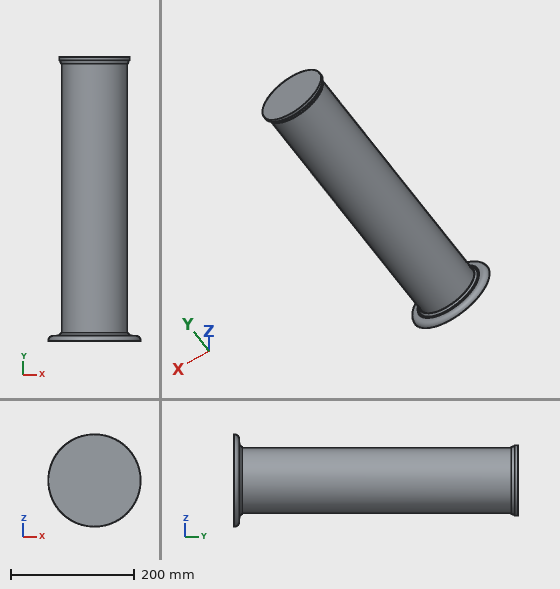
import cadquery as cq
import math

length = 460.5
tube_radius = 53.5
taper_end_radius = 54.5

foot_radius = 75.0
foot_thickness = 8.8
foot_round = 8.5
foot_shoulder_radius = 60.5
foot_shoulder_height = 1.0
foot_taper_radius = 57.5
foot_taper_length = 3.5

lip_radius = 57.5
lip_thickness = 5.5
lip_taper_radius = 56.0
lip_taper_length = 5.5

round_center_radius = foot_radius - foot_round
round_center_y = foot_thickness - foot_round
round_offset = foot_round * math.sqrt(0.5)
foot_shoulder_y = foot_thickness + foot_shoulder_height
foot_taper_end = foot_shoulder_y + foot_taper_length
lip_y = length - lip_thickness
lip_taper_start = lip_y - lip_taper_length

profile = (
    cq.Workplane("XY")
    .lineTo(foot_radius, 0)
    .lineTo(foot_radius, round_center_y)
    .threePointArc(
        (round_center_radius + round_offset, round_center_y + round_offset),
        (round_center_radius, foot_thickness),
    )
    .lineTo(foot_shoulder_radius, foot_thickness)
    .lineTo(foot_shoulder_radius, foot_shoulder_y)
    .lineTo(foot_taper_radius, foot_shoulder_y)
    .lineTo(taper_end_radius, foot_taper_end)
    .lineTo(tube_radius, foot_taper_end)
    .lineTo(tube_radius, lip_taper_start)
    .lineTo(taper_end_radius, lip_taper_start)
    .lineTo(lip_taper_radius, lip_y)
    .lineTo(lip_radius, lip_y)
    .lineTo(lip_radius, length)
    .lineTo(0, length)
    .close()
)

result = profile.revolve(360, (0, 0, 0), (0, 1, 0))